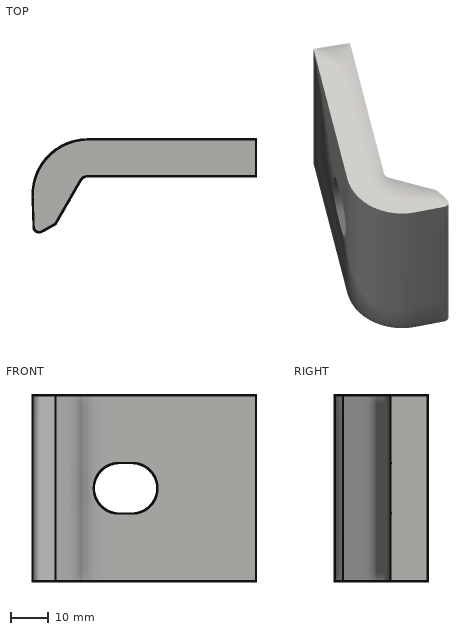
import cadquery as cq
import math

length = 60.0
depth = 25.0
height = 50.0

plate_thickness = 10.0
bend_radius = 15.0
heel_taper = 2.0
hook_angle = 60.0
end_angle = 29.0
inner_corner_x = 13.55
inner_fillet = 2.0
tip_radius = 1.5

slot_length = 17.0
slot_width = 13.5
slot_center_x = 25.0


def on_circle(center, radius, angle):
    """Point at the given angle, in degrees, on a circle in the XY plane."""
    turn = math.radians(angle)
    return (center[0] + radius * math.cos(turn), center[1] + radius * math.sin(turn))


def tip_center():
    """Centre of the tip round, which touches the depth limit and the outer hook face."""
    taper = math.radians(heel_taper)
    center_y = tip_radius - depth
    drop = -bend_radius - center_y
    offset = (bend_radius - tip_radius - drop * math.sin(taper)) / math.cos(taper)
    return (bend_radius - offset, center_y)


def hook_corner(tip_end):
    """Corner where the sloping end face, starting at tip_end, meets the inner hook face."""
    end_slope = math.tan(math.radians(end_angle))
    hook_slope = math.tan(math.radians(hook_angle))
    end_height = tip_end[1] - end_slope * tip_end[0]
    hook_height = -plate_thickness - hook_slope * inner_corner_x
    corner_x = (end_height - hook_height) / (hook_slope - end_slope)
    return (corner_x, end_height + end_slope * corner_x)


def make_body():
    """Extrude the hooked plate profile along Z and round its inner corner."""
    bend = (bend_radius, -bend_radius)
    tip = tip_center()
    heel_normal = 180.0 + heel_taper
    end_normal = 270.0 + end_angle
    back_normal = 90.0
    tip_start = on_circle(tip, tip_radius, heel_normal)
    tip_middle = on_circle(tip, tip_radius, (heel_normal + end_normal) / 2)
    tip_end = on_circle(tip, tip_radius, end_normal)
    profile = (
        cq.Workplane("XY")
        .moveTo(length, 0)
        .lineTo(*on_circle(bend, bend_radius, back_normal))
        .threePointArc(
            on_circle(bend, bend_radius, (back_normal + heel_normal) / 2),
            on_circle(bend, bend_radius, heel_normal),
        )
        .lineTo(*tip_start)
        .threePointArc(tip_middle, tip_end)
        .lineTo(*hook_corner(tip_end))
        .lineTo(inner_corner_x, -plate_thickness)
        .lineTo(length, -plate_thickness)
        .close()
    )
    inner_corner = cq.selectors.NearestToPointSelector(
        (inner_corner_x, -plate_thickness, height / 2)
    )
    return profile.extrude(height).edges(inner_corner).fillet(inner_fillet)


def make_slot():
    """Slot cutter running through the plate along Y."""
    return (
        cq.Workplane("XZ")
        .center(slot_center_x, height / 2)
        .slot2D(slot_length, slot_width)
        .extrude(depth)
    )


result = make_body().cut(make_slot())